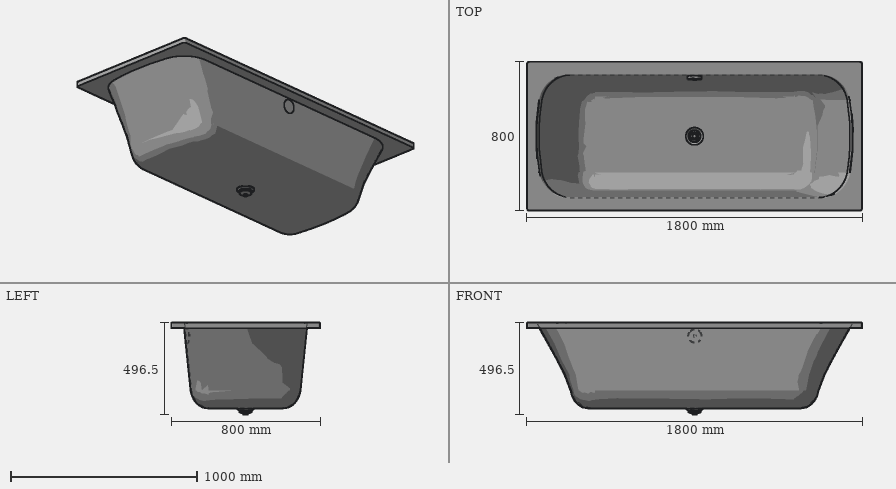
import cadquery as cq
import math

RIM_LENGTH = 1800.0
RIM_WIDTH = 800.0
RIM_THICKNESS = 30.0
RIM_CORNER_RADIUS = 12.0
RIM_EDGE_RADIUS = 5.0
OPENING_EDGE_RADIUS = 4.0

SHEET = 5.0
END_BOW_RADIUS = 1200.0
WALL_DEPTH = 366.0
TOP_HALF_WIDTH = 329.0
BOTTOM_HALF_WIDTH = 291.0
TOP_CORNER_RADIUS = 162.0
BOTTOM_CORNER_RADIUS = 112.0
END_WALL_PROFILE = [(0.0, 850.0), (100.0, 790.0), (200.0, 735.0), (300.0, 685.0), (WALL_DEPTH, 662.0)]

EDGE_INSET = 95.0
EDGE_DROP = 91.0
EDGE_START_ANGLE = math.radians(12)
EDGE_STEPS = 5
FLOOR_DEPTH = WALL_DEPTH + EDGE_DROP

TOTAL_HEIGHT = 496.49
DRAIN_RADIUS = 47.0
CUP_RADIUS = 33.0
PLUG_RADIUS = 30.0
PLUG_TOP_RADIUS = 20.0
STEM_RADIUS = 11.0
CUP_LEDGE_DEPTH = 475.0
CUP_DEPTH = 482.0
STEM_SHOULDER_DEPTH = 491.0
FUNNEL_FALL = 10.0
PLUG_RISE = 6.0
KNOB_HEIGHT = 3.0

COVER_RADIUS = 38.0
COVER_DEPTH = 71.0
COVER_FRONT_Y = 304.0
COVER_CHAMFER = 5.0
BUTTON_RADIUS = 8.0
BUTTON_HEIGHT = 3.0


def basin_wire(depth, half_length, half_width, corner_radius, bow_radius):
    """Closed outline: straight sides, bowed ends and tangent corner arcs."""
    bow_center = half_length - bow_radius
    corner_y = half_width - corner_radius
    reach = bow_radius - corner_radius
    corner_x = bow_center + math.sqrt(reach ** 2 - corner_y ** 2)
    join_angle = math.asin(corner_y / reach)
    join_x = bow_center + bow_radius * math.cos(join_angle)
    join_y = bow_radius * math.sin(join_angle)
    mid_angle = (join_angle + math.pi / 2) / 2
    mid_x = corner_x + corner_radius * math.cos(mid_angle)
    mid_y = corner_y + corner_radius * math.sin(mid_angle)
    return (
        cq.Workplane("XY", origin=(0, 0, -depth))
        .moveTo(-corner_x, -half_width)
        .lineTo(corner_x, -half_width)
        .threePointArc((mid_x, -mid_y), (join_x, -join_y))
        .threePointArc((half_length, 0), (join_x, join_y))
        .threePointArc((mid_x, mid_y), (corner_x, half_width))
        .lineTo(-corner_x, half_width)
        .threePointArc((-mid_x, mid_y), (-join_x, join_y))
        .threePointArc((-half_length, 0), (-join_x, -join_y))
        .threePointArc((-mid_x, -mid_y), (-corner_x, -half_width))
        .close()
        .wire()
        .val()
    )


def wall_wire(depth, half_length, offset):
    """Wall outline at one depth, grown outward by offset."""
    fraction = depth / WALL_DEPTH
    half_width = TOP_HALF_WIDTH + fraction * (BOTTOM_HALF_WIDTH - TOP_HALF_WIDTH)
    corner_radius = TOP_CORNER_RADIUS + fraction * (BOTTOM_CORNER_RADIUS - TOP_CORNER_RADIUS)
    return basin_wire(
        depth, half_length + offset, half_width + offset, corner_radius + offset, END_BOW_RADIUS + offset
    )


def edge_wire(step, offset):
    """Outline within the rounded floor edge; the last step is the floor itself."""
    angle = EDGE_START_ANGLE + (math.pi / 2 - EDGE_START_ANGLE) * step / EDGE_STEPS
    start_cos = math.cos(EDGE_START_ANGLE)
    start_sin = math.sin(EDGE_START_ANGLE)
    inset = EDGE_INSET * (start_cos - math.cos(angle)) / start_cos
    drop = (EDGE_DROP + offset) * (math.sin(angle) - start_sin) / (1 - start_sin)
    bottom_half_length = END_WALL_PROFILE[-1][1]
    growth = offset - inset
    return basin_wire(
        WALL_DEPTH + drop,
        bottom_half_length + growth,
        BOTTOM_HALF_WIDTH + growth,
        BOTTOM_CORNER_RADIUS + growth,
        END_BOW_RADIUS + growth,
    )


def basin_solid(offset):
    """Filled basin, its surface grown outward by offset."""
    walls = cq.Solid.makeLoft([wall_wire(depth, length, offset) for depth, length in END_WALL_PROFILE])
    rounded_edge = cq.Solid.makeLoft([edge_wire(step, offset) for step in range(EDGE_STEPS + 1)])
    return cq.Workplane(walls).union(cq.Workplane(rounded_edge))


def make_drain():
    """Funnel with a tapered plug in the middle and a stepped underside."""
    top = -FLOOR_DEPTH
    funnel_z = top - FUNNEL_FALL
    plug_top_z = funnel_z + PLUG_RISE
    underside_z = top - SHEET
    return (
        cq.Workplane("XZ")
        .moveTo(0, -TOTAL_HEIGHT)
        .lineTo(STEM_RADIUS, -TOTAL_HEIGHT)
        .lineTo(STEM_RADIUS, -STEM_SHOULDER_DEPTH)
        .lineTo(CUP_RADIUS, -CUP_DEPTH)
        .lineTo(CUP_RADIUS, -CUP_LEDGE_DEPTH)
        .lineTo(DRAIN_RADIUS, underside_z)
        .lineTo(DRAIN_RADIUS, top)
        .lineTo(CUP_RADIUS, funnel_z)
        .lineTo(PLUG_RADIUS, funnel_z)
        .lineTo(PLUG_TOP_RADIUS, plug_top_z)
        .lineTo(STEM_RADIUS, plug_top_z)
        .lineTo(STEM_RADIUS, plug_top_z + KNOB_HEIGHT)
        .lineTo(0, plug_top_z + KNOB_HEIGHT)
        .close()
        .revolve(360, (0, 0, 0), (0, 1, 0))
    )


def make_cover(cavity):
    """Round cover with a central button; its back follows the inner wall surface."""
    front_plane = cq.Workplane("XZ", origin=(0, COVER_FRONT_Y, -COVER_DEPTH))
    disc = (
        front_plane.circle(COVER_RADIUS)
        .extrude(COVER_FRONT_Y - TOP_HALF_WIDTH)
        .faces("<Y")
        .chamfer(COVER_CHAMFER)
    )
    button = front_plane.circle(BUTTON_RADIUS).extrude(BUTTON_HEIGHT)
    return disc.union(button).intersect(cavity)


def make_tub(cavity):
    """Rim and basin sheet in one piece, with the drain hole through the floor."""
    rim = (
        cq.Workplane("XY")
        .box(RIM_LENGTH, RIM_WIDTH, RIM_THICKNESS, centered=(True, True, False))
        .translate((0, 0, -RIM_THICKNESS))
        .edges("|Z")
        .fillet(RIM_CORNER_RADIUS)
        .faces(">Z")
        .edges()
        .fillet(RIM_EDGE_RADIUS)
    )
    drain_hole = cq.Workplane("XY").circle(DRAIN_RADIUS).extrude(-TOTAL_HEIGHT)
    tub = rim.union(basin_solid(SHEET)).cut(cavity).cut(drain_hole)
    opening_reach_x = END_WALL_PROFILE[0][1] + SHEET
    opening_reach_y = TOP_HALF_WIDTH + SHEET
    opening_box = cq.selectors.BoxSelector(
        (-opening_reach_x, -opening_reach_y, -RIM_THICKNESS),
        (opening_reach_x, opening_reach_y, RIM_THICKNESS),
    )
    opening_edges = tub.faces(">Z").edges(opening_box)
    return opening_edges.fillet(OPENING_EDGE_RADIUS)


cavity = basin_solid(0)
tub = make_tub(cavity)
drain = make_drain()
cover = make_cover(cavity)

result = cq.Compound.makeCompound([*tub.solids().vals(), drain.val(), *cover.solids().vals()])